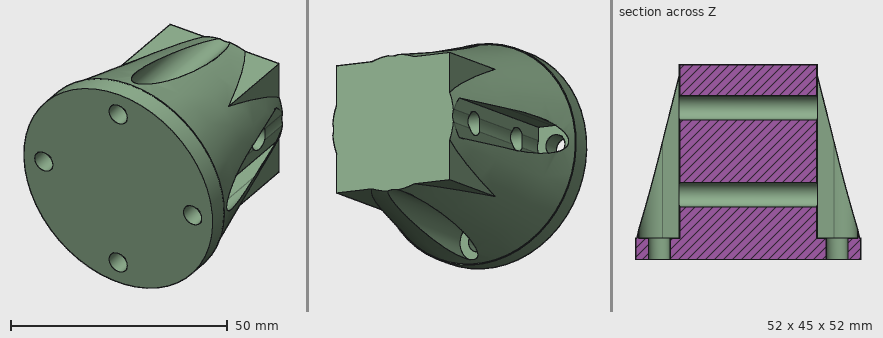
import cadquery as cq

flange_radius = 26.0
flange_thickness = 5.0
total_length = 45.0
cone_base_radius = 25.75
cone_tip_radius = 16.0
square_side = 30.0

screw_circle_radius = 20.5
screw_hole_diameter = 5.0
head_clearance_radius = 4.75
side_floor_width = 9.35
side_floor_distance = 16.0

cross_hole_diameter = 5.55
cross_hole_tip_distances = (10.0, 30.0)

body_length = total_length - flange_thickness


def cylinder_along_y(radius, start, length, x=0, z=0):
    return cq.Workplane(cq.Solid.makeCylinder(
        radius, length, cq.Vector(x, start, z), cq.Vector(0, 1, 0)
    ))


def make_body():
    flange = cylinder_along_y(flange_radius, 0, flange_thickness)
    cone = cq.Workplane(cq.Solid.makeCone(
        cone_base_radius, cone_tip_radius, body_length,
        cq.Vector(0, flange_thickness, 0), cq.Vector(0, 1, 0),
    ))
    square = (
        cq.Workplane("XY")
        .box(square_side, body_length, square_side, centered=(True, False, True))
        .translate((0, flange_thickness, 0))
    )
    return flange.union(cone).union(square)


def screw_cutter(x, z):
    hole = cylinder_along_y(screw_hole_diameter / 2, 0, total_length, x, z)
    clearance = cylinder_along_y(head_clearance_radius, flange_thickness, body_length, x, z)
    return hole.union(clearance)


def flat_floor_cutter(side):
    """Straight-walled lower half of a head clearance on an X side."""
    depth = screw_circle_radius - side_floor_distance
    middle_x = side * (side_floor_distance + depth / 2)
    return (
        cq.Workplane("XY")
        .box(depth, body_length, side_floor_width, centered=(True, False, True))
        .translate((middle_x, flange_thickness, 0))
    )


def cross_hole_cutter(tip_distance):
    return (
        cq.Workplane("YZ")
        .center(total_length - tip_distance, 0)
        .circle(cross_hole_diameter / 2)
        .extrude(flange_radius, both=True)
    )


result = make_body()
for side in (-1, 1):
    offset = side * screw_circle_radius
    result = result.cut(screw_cutter(offset, 0))
    result = result.cut(screw_cutter(0, offset))
    result = result.cut(flat_floor_cutter(side))
for tip_distance in cross_hole_tip_distances:
    result = result.cut(cross_hole_cutter(tip_distance))